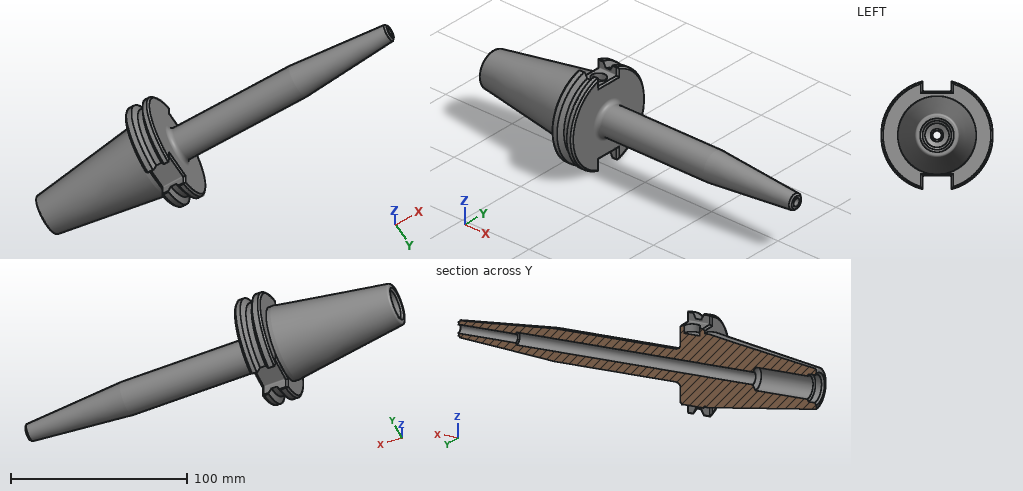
import cadquery as cq
import math

total_length = 228.2
gauge_x = 68.5
flange_start_x = 71.2
flange_end_x = 87.0
neck_end_x = 167.0

taper_slope = 7 / 48
taper_radius = 44.5 / 2
flange_radius = 31.7
neck_radius = 10.0
tip_radius = 5.2

end_round = 1.4
rim_chamfer = 1.1
neck_fillet = 3.0
tip_chamfer = 1.1

groove_x = 79.5
groove_width = 7.3
groove_floor_width = 3.5
groove_depth = 3.7

slot_width = 16.0
slot_face_chamfer = 1.1
slot_rim_chamfer = 0.5
slot_floor_fillet = 0.7
upper_slot_floor = 24.9
lower_slot_floor = 22.8
pocket_radius = 4.8
pocket_depth = 4.5

mouth_radius = 9.5
lead_in_radius = 8.2
lead_in_depth = 5.0
thread_radius = 6.8
thread_depth = 38.8
coolant_radius = 3.7
tool_bore_radius = 2.5
tool_bore_depth = 36.5
drill_half_angle = 59.0
mouth_chamfer = 1.1


def cone_length(large_radius, small_radius):
    """Length of a drill-point cone between two radii."""
    return (large_radius - small_radius) / math.tan(math.radians(drill_half_angle))


def revolve_about_x(profile):
    return profile.close().revolve(360, (0, 0, 0), (1, 0, 0))


def make_body():
    """Taper, flange, neck and nose cone as one turned solid."""
    small_end_radius = taper_radius - gauge_x * taper_slope
    profile = (
        cq.Workplane("XY")
        .lineTo(0, small_end_radius)
        .lineTo(gauge_x, taper_radius)
        .lineTo(flange_start_x, taper_radius)
        .lineTo(flange_start_x, flange_radius - rim_chamfer)
        .lineTo(flange_start_x + rim_chamfer, flange_radius)
        .lineTo(flange_end_x - rim_chamfer, flange_radius)
        .lineTo(flange_end_x, flange_radius - rim_chamfer)
        .lineTo(flange_end_x, neck_radius + neck_fillet)
        .radiusArc((flange_end_x + neck_fillet, neck_radius), -neck_fillet)
        .lineTo(neck_end_x, neck_radius)
        .lineTo(total_length - tip_chamfer, tip_radius)
        .lineTo(total_length, tip_radius - tip_chamfer)
        .lineTo(total_length, 0)
    )
    return revolve_about_x(profile).faces("<X").edges().fillet(end_round)


def make_groove():
    floor_radius = flange_radius - groove_depth
    profile = (
        cq.Workplane("XY")
        .moveTo(groove_x - groove_width / 2, flange_radius)
        .lineTo(groove_x - groove_floor_width / 2, floor_radius)
        .lineTo(groove_x + groove_floor_width / 2, floor_radius)
        .lineTo(groove_x + groove_width / 2, flange_radius)
    )
    return revolve_about_x(profile)


def make_slot(floor_height):
    """Slot open to +Z, flared by chamfers at the flange faces and at the rim."""
    flange_width = flange_end_x - flange_start_x
    height = flange_radius - floor_height
    half_width = slot_width / 2

    rim_height = math.sqrt(flange_radius**2 - (half_width + slot_rim_chamfer) ** 2)
    wall_top = rim_height - slot_rim_chamfer

    slot = (
        cq.Workplane("XY", origin=(flange_start_x, 0, floor_height))
        .box(flange_width, slot_width, height, centered=(False, True, False))
        .edges("|X and <Z")
        .fillet(slot_floor_fillet)
    )
    rim_flare = (
        cq.Workplane("YZ", origin=(flange_start_x, 0, 0))
        .moveTo(-half_width, wall_top)
        .lineTo(half_width, wall_top)
        .lineTo(half_width + slot_rim_chamfer, rim_height)
        .lineTo(half_width + slot_rim_chamfer, flange_radius)
        .lineTo(-half_width - slot_rim_chamfer, flange_radius)
        .lineTo(-half_width - slot_rim_chamfer, rim_height)
        .close()
        .extrude(flange_width)
    )
    slot = slot.union(rim_flare)

    flare_width = slot_width + 2 * slot_face_chamfer
    for face_x, inward in ((flange_start_x, 1), (flange_end_x, -1)):
        face_flare = (
            cq.Workplane("YZ", origin=(face_x, 0, 0))
            .center(0, floor_height + height / 2)
            .rect(flare_width, height + 2 * slot_face_chamfer)
            .workplane(offset=inward * slot_face_chamfer)
            .rect(slot_width, height)
            .loft()
        )
        slot = slot.union(face_flare)
    return slot


def make_pocket():
    return (
        cq.Workplane("XY", origin=(groove_x, 0, upper_slot_floor))
        .circle(pocket_radius)
        .extrude(-pocket_depth)
    )


def make_bore():
    """Stepped through bore: lead-in, thread core, coolant hole and tool bore."""
    lead_in_end = lead_in_depth + cone_length(lead_in_radius, thread_radius)
    thread_end = thread_depth + cone_length(thread_radius, coolant_radius)
    tool_bore_start = total_length - tool_bore_depth
    coolant_end = tool_bore_start - cone_length(coolant_radius, tool_bore_radius)
    profile = (
        cq.Workplane("XY")
        .lineTo(0, mouth_radius)
        .lineTo(mouth_chamfer, lead_in_radius)
        .lineTo(lead_in_depth, lead_in_radius)
        .lineTo(lead_in_end, thread_radius)
        .lineTo(thread_depth, thread_radius)
        .lineTo(thread_end, coolant_radius)
        .lineTo(coolant_end, coolant_radius)
        .lineTo(tool_bore_start, tool_bore_radius)
        .lineTo(total_length, tool_bore_radius)
        .lineTo(total_length, 0)
    )
    return revolve_about_x(profile)


upper_slot = make_slot(upper_slot_floor)
lower_slot = make_slot(lower_slot_floor).rotate((0, 0, 0), (1, 0, 0), 180)

result = (
    make_body()
    .cut(make_groove())
    .cut(upper_slot)
    .cut(lower_slot)
    .cut(make_pocket())
    .cut(make_bore())
)